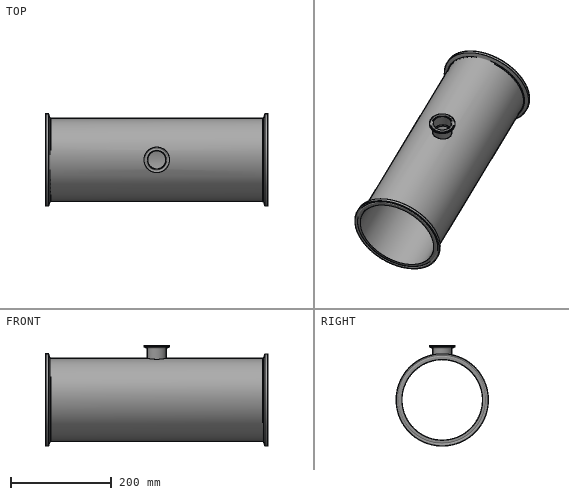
import cadquery as cq
import math

length = 440.0
tube_od = 165.2
tube_id = 159.2

flange_od = 183.0
flange_rim = 5.6
groove_pitch_dia = 174.0

branch_top = 107.5
branch_od = 38.1
branch_id = 35.7
branch_flange_od = 50.5
branch_flange_rim = 2.85
branch_groove_pitch_dia = 43.5

clamp_angle = math.radians(20)
root_fillet = 2.0
groove_depth = 1.6
groove_radius = 1.2
groove_edge_radius = 0.8


def gasket_groove(pitch_dia):
    """Ring to cut from a face at Z = 0: round bottom with rounded edges."""
    pitch_r = pitch_dia / 2
    center_distance = groove_radius + groove_edge_radius
    bottom_center_z = groove_radius - groove_depth
    angle = math.acos((bottom_center_z + groove_edge_radius) / center_distance)
    half_width = center_distance * math.sin(angle)
    tangent_offset = groove_radius * math.sin(angle)
    tangent_z = bottom_center_z - groove_radius * math.cos(angle)
    edge_mid_offset = half_width - groove_edge_radius * math.sin(angle / 2)
    edge_mid_z = groove_edge_radius * (math.cos(angle / 2) - 1)

    return (
        cq.Workplane("XZ")
        .moveTo(pitch_r - half_width, 0)
        .threePointArc((pitch_r - edge_mid_offset, edge_mid_z), (pitch_r - tangent_offset, tangent_z))
        .threePointArc((pitch_r, -groove_depth), (pitch_r + tangent_offset, tangent_z))
        .threePointArc((pitch_r + edge_mid_offset, edge_mid_z), (pitch_r + half_width, 0))
        .close()
        .revolve(360, (0, 0, 0), (0, 1, 0))
    )


def clamp_flange(pipe_od, rim_od, rim_thickness):
    """Solid flange with its face at Z = 0 and its cone and root fillet towards -Z."""
    pipe_r = pipe_od / 2
    rim_r = rim_od / 2
    cone_end = rim_thickness + (rim_r - pipe_r) * math.tan(clamp_angle)

    half_sweep = (math.pi / 2 - clamp_angle) / 2
    tangent_length = root_fillet * math.tan(half_sweep)
    fillet_end = cone_end + tangent_length
    cone_tangent = (
        pipe_r + tangent_length * math.cos(clamp_angle),
        tangent_length * math.sin(clamp_angle) - cone_end,
    )
    fillet_mid = (
        pipe_r + root_fillet * (1 - math.cos(half_sweep)),
        root_fillet * math.sin(half_sweep) - fillet_end,
    )

    return (
        cq.Workplane("XZ")
        .lineTo(rim_r, 0)
        .lineTo(rim_r, -rim_thickness)
        .lineTo(*cone_tangent)
        .threePointArc(fillet_mid, (pipe_r, -fillet_end))
        .lineTo(0, -fillet_end)
        .close()
        .revolve(360, (0, 0, 0), (0, 1, 0))
    )


def to_tube_end(flange_feature, side):
    """Move a feature from the Z = 0 face to the tube end at +X (side 1) or -X (side -1)."""
    return flange_feature.rotate((0, 0, 0), (0, 1, 0), side * 90).translate((side * length / 2, 0, 0))


def outer_body():
    tube = cq.Workplane("YZ").circle(tube_od / 2).extrude(length / 2, both=True)
    branch = cq.Workplane("XY").circle(branch_od / 2).extrude(branch_top)
    branch_flange = clamp_flange(branch_od, branch_flange_od, branch_flange_rim)
    body = tube.union(branch).union(branch_flange.translate((0, 0, branch_top)))
    for side in (-1, 1):
        tube_flange = clamp_flange(tube_od, flange_od, flange_rim)
        body = body.union(to_tube_end(tube_flange, side))
    return body


def bores():
    tube_bore = cq.Workplane("YZ").circle(tube_id / 2).extrude(length / 2, both=True)
    branch_bore = cq.Workplane("XY").circle(branch_id / 2).extrude(branch_top)
    return tube_bore.union(branch_bore)


part = outer_body().cut(bores())
part = part.cut(gasket_groove(branch_groove_pitch_dia).translate((0, 0, branch_top)))
for end in (-1, 1):
    part = part.cut(to_tube_end(gasket_groove(groove_pitch_dia), end))

result = cq.Workplane(part.solids().val())